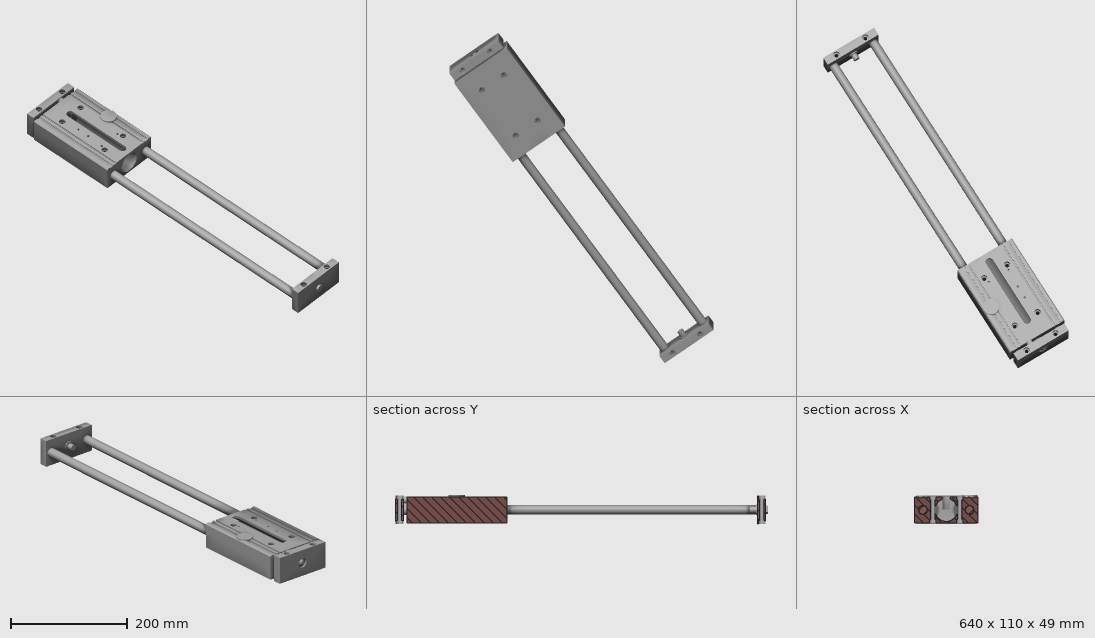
import cadquery as cq
import math

TOTAL_LENGTH = 640.0
PLATE_HEIGHT = 48.5
AXIS_Z = PLATE_HEIGHT / 2

PLATE_LENGTH = 15.0
PLATE_WIDTH = 102.5
HEX_LENGTH = 4.0
FAR_PLATE_X = TOTAL_LENGTH - HEX_LENGTH - PLATE_LENGTH
PLATE_HOLE_SPACING = 58.0

SCREW_DIAMETER = 6.5
SCREW_HEAD_DIAMETER = 11.0
SCREW_HEAD_DEPTH = 6.0

ROD_DIAMETER = 16.0
ROD_SPACING = 80.0

STOP_DIAMETER = 11.0
STOP_LENGTH = 12.0
STOP_COLLAR_DIAMETER = 17.0
STOP_COLLAR_LENGTH = 2.0
HEX_ACROSS_FLATS = 12.0

RECESS_DIAMETER = 17.0
RECESS_DEPTH = 4.0
CONE_BASE_DIAMETER = 13.5
CONE_TIP_DIAMETER = 6.5
CONE_HEIGHT = 4.0

GAP = 5.0
HOUSING_X = PLATE_LENGTH + GAP
HOUSING_LENGTH = 172.0
HOUSING_WIDTH = 110.0
HOUSING_BOTTOM = 2.0
HOUSING_TOP = 47.5
HOUSING_MID_X = HOUSING_X + HOUSING_LENGTH / 2
EDGE_CHAMFER = 2.0

GROOVE_DEPTH = 2.0
GROOVE_STEP_DEPTH = 0.5
OUTER_GROOVE_INSET = 11.0
OUTER_GROOVE_WIDTH = 6.0
OUTER_GROOVE_STEP_WIDTH = 8.5
INNER_GROOVE_INSET = 20.5
INNER_GROOVE_WIDTH = 4.0

BORE_DIAMETER = 38.5
BORE_START_X = 51.0
SLOT_START_X = 47.0
SLOT_END_X = 182.5
SLOT_WIDTH = 13.5

MOUNT_HOLE_SPACING_X = 100.0
MOUNT_HOLE_SPACING_Y = 46.0
PORT_DIAMETER = 4.15
PORT_DEPTH = 4.0
PORT_PLACES = [(89.5, -18.0), (112.5, -18.0), (146.0, -20.0), (146.0, 20.0)]

COVER_DIAMETER = 28.0
COVER_TOP = 49.0
COVER_Y = 40.5
CENTRE_BOSS_DIAMETER = 18.5
SIDE_BOSS_DIAMETER = 12.0
SIDE_BOSS_Y = 16.5
SIDE_BOSS_Z = 41.0


def x_cylinder(diameter, start_x, length, y=0.0, z=AXIS_Z):
    """Round bar along +X."""
    return cq.Workplane("YZ", origin=(start_x, y, z)).circle(diameter / 2).extrude(length)


def z_cylinder(diameter, x, y, bottom, top):
    """Round bar along +Z."""
    return cq.Workplane("XY", origin=(x, y, bottom)).circle(diameter / 2).extrude(top - bottom)


def x_block(start_x, length, width, bottom, top, y=0.0):
    """Rectangular block centred on y."""
    block = cq.Workplane("XY", origin=(start_x, y, bottom))
    return block.box(length, width, top - bottom, centered=(False, True, False))


def screw_hole(x, y, bottom, top):
    """Through hole with a counterbore at both ends."""
    hole = z_cylinder(SCREW_DIAMETER, x, y, bottom, top)
    upper_head = z_cylinder(SCREW_HEAD_DIAMETER, x, y, top - SCREW_HEAD_DEPTH, top)
    lower_head = z_cylinder(SCREW_HEAD_DIAMETER, x, y, bottom, bottom + SCREW_HEAD_DEPTH)
    return hole.union(upper_head).union(lower_head)


def rod(side):
    """Guide rod between the two plates; side is -1 or 1."""
    return x_cylinder(ROD_DIAMETER, PLATE_LENGTH, FAR_PLATE_X - PLATE_LENGTH, side * ROD_SPACING / 2)


def end_plate(start_x):
    """Flat plate with two counterbored screw holes."""
    plate = x_block(start_x, PLATE_LENGTH, PLATE_WIDTH, 0, PLATE_HEIGHT)
    for side in (-1, 1):
        y = side * PLATE_HOLE_SPACING / 2
        plate = plate.cut(screw_hole(start_x + PLATE_LENGTH / 2, y, 0, PLATE_HEIGHT))
    return plate


def near_plate():
    """End plate with the recessed conical screw end."""
    recess = x_cylinder(RECESS_DIAMETER, 0, RECESS_DEPTH)
    cone = (
        cq.Workplane("YZ", origin=(RECESS_DEPTH, 0, AXIS_Z))
        .circle(CONE_BASE_DIAMETER / 2)
        .workplane(offset=-CONE_HEIGHT)
        .circle(CONE_TIP_DIAMETER / 2)
        .loft()
    )
    return end_plate(0).cut(recess).union(cone)


def far_plate():
    """End plate with the stop screw: collar and stop inside, hexagon outside."""
    collar = x_cylinder(STOP_COLLAR_DIAMETER, FAR_PLATE_X - STOP_COLLAR_LENGTH, STOP_COLLAR_LENGTH)
    stop = x_cylinder(STOP_DIAMETER, FAR_PLATE_X - STOP_LENGTH, STOP_LENGTH)
    hexagon = (
        cq.Workplane("YZ", origin=(FAR_PLATE_X + PLATE_LENGTH, 0, AXIS_Z))
        .transformed(rotate=(0, 0, 90))
        .polygon(6, HEX_ACROSS_FLATS / math.cos(math.pi / 6))
        .extrude(HEX_LENGTH)
    )
    return end_plate(FAR_PLATE_X).union(collar).union(stop).union(hexagon)


def build_yoke():
    """Both end plates joined by the two guide rods."""
    yoke = near_plate().union(far_plate())
    for side in (-1, 1):
        yoke = yoke.union(rod(side))
    return yoke


def groove(inset, width, depth, side):
    """Straight groove along the housing top; side is -1 or 1."""
    y = side * (HOUSING_WIDTH / 2 - inset)
    return x_block(HOUSING_X, HOUSING_LENGTH, width, HOUSING_TOP - depth, HOUSING_TOP, y)


def top_slot():
    """Round-ended slot from the bore axis up through the housing top."""
    return (
        cq.Workplane("XY", origin=((SLOT_START_X + SLOT_END_X) / 2, 0, AXIS_Z))
        .slot2D(SLOT_END_X - SLOT_START_X, SLOT_WIDTH)
        .extrude(HOUSING_TOP - AXIS_Z)
    )


def build_housing():
    """Sliding block bored for the two guide rods, with its cover and end bosses."""
    housing = x_block(HOUSING_X, HOUSING_LENGTH, HOUSING_WIDTH, HOUSING_BOTTOM, HOUSING_TOP)
    housing = housing.edges("|X and >Z").chamfer(EDGE_CHAMFER)
    for side in (-1, 1):
        housing = housing.cut(groove(OUTER_GROOVE_INSET, OUTER_GROOVE_STEP_WIDTH, GROOVE_STEP_DEPTH, side))
        housing = housing.cut(groove(OUTER_GROOVE_INSET, OUTER_GROOVE_WIDTH, GROOVE_DEPTH, side))
        housing = housing.cut(groove(INNER_GROOVE_INSET, INNER_GROOVE_WIDTH, GROOVE_DEPTH, side))
        housing = housing.cut(rod(side))

    bore_length = HOUSING_X + HOUSING_LENGTH - BORE_START_X
    housing = housing.cut(x_cylinder(BORE_DIAMETER, BORE_START_X, bore_length))
    housing = housing.cut(top_slot())

    for side_x in (-1, 1):
        for side_y in (-1, 1):
            x = HOUSING_MID_X + side_x * MOUNT_HOLE_SPACING_X / 2
            y = side_y * MOUNT_HOLE_SPACING_Y / 2
            housing = housing.cut(screw_hole(x, y, HOUSING_BOTTOM, HOUSING_TOP))
    for x, y in PORT_PLACES:
        housing = housing.cut(z_cylinder(PORT_DIAMETER, x, y, HOUSING_TOP - PORT_DEPTH, HOUSING_TOP))

    cover_bottom = HOUSING_TOP - GROOVE_DEPTH
    cover = z_cylinder(COVER_DIAMETER, HOUSING_MID_X, COVER_Y, cover_bottom, COVER_TOP)
    housing = housing.union(cover)
    housing = housing.union(x_cylinder(CENTRE_BOSS_DIAMETER, PLATE_LENGTH, GAP))
    return housing.union(x_cylinder(SIDE_BOSS_DIAMETER, PLATE_LENGTH, GAP, SIDE_BOSS_Y, SIDE_BOSS_Z))


yoke = build_yoke()
housing = build_housing()
result = cq.Compound.makeCompound([yoke.val(), housing.val()])